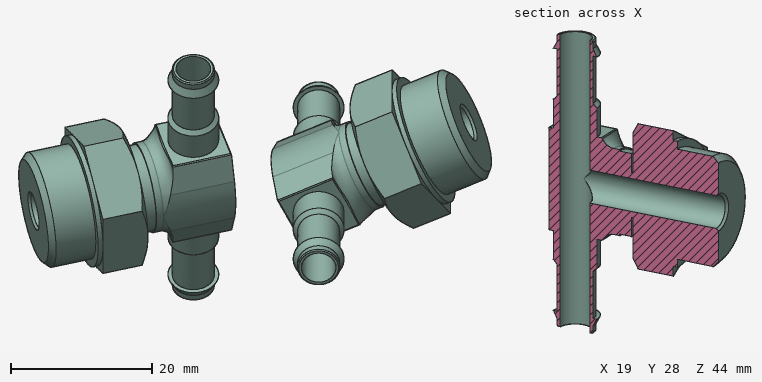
import cadquery as cq
import math


part_depth = 27.95

tube_half_length = 22.0
tube_diameter = 6.0
barb_diameter = 7.2
bore_diameter = 4.9
tip_length = 1.1
tip_chamfer = 0.18
barb_length = 1.2
shoulder_start = 12.65
shoulder_chamfer = (barb_diameter - tube_diameter) / 2

seat_half_width = 4.35
seat_edge_chamfer = 0.15
block_half_height = 7.75
collar_diameter = 13.02
block_half_width = collar_diameter / 2
flank_half_width = 5.9
flank_half_height = 3.65
flare_radius = 2.0

flange_diameter = 12.6
neck_diameter = 6.78
washer_diameter = 19.0
thread_diameter = 16.68
thread_chamfer = 0.9
collar_back = -(seat_half_width + flare_radius)
collar_front = -7.35
flange_front = -9.3
nut_back = -9.5
nut_front = -16.15
washer_front = -16.85
thread_front = seat_half_width - part_depth
bore_mouth_chamfer = 0.35

nut_across_flats = washer_diameter
nut_across_corners = nut_across_flats / math.cos(math.radians(30))
nut_chamfer_angle = 30

clearance = 0.45


def revolve_about_y(profile):
    """Revolve a closed XY profile of (radius, y) points about the Y axis."""
    return profile.close().revolve(360, (0, 0, 0), (0, 1, 0))


def cylinder_y(diameter, start, end):
    """Solid cylinder on the Y axis between two Y positions."""
    return cq.Workplane("XZ", origin=(0, start, 0)).circle(diameter / 2).extrude(start - end)


def make_block():
    """Block whose front follows a concave flare down to the round collar."""
    prism = (
        cq.Workplane("XZ", origin=(0, seat_half_width, 0))
        .moveTo(-seat_half_width, block_half_height)
        .lineTo(seat_half_width, block_half_height)
        .lineTo(flank_half_width, flank_half_height)
        .threePointArc((block_half_width, 0), (flank_half_width, -flank_half_height))
        .lineTo(seat_half_width, -block_half_height)
        .lineTo(-seat_half_width, -block_half_height)
        .lineTo(-flank_half_width, -flank_half_height)
        .threePointArc((-block_half_width, 0), (-flank_half_width, flank_half_height))
        .close()
        .extrude(seat_half_width - collar_back)
    )
    flare_outer_radius = block_half_width + flare_radius
    envelope_radius = math.hypot(seat_half_width, block_half_height) + clearance
    arc_offset = flare_radius * math.sqrt(0.5)
    envelope = revolve_about_y(
        cq.Workplane("XY")
        .moveTo(0, seat_half_width)
        .lineTo(envelope_radius, seat_half_width)
        .lineTo(envelope_radius, -seat_half_width)
        .lineTo(flare_outer_radius, -seat_half_width)
        .threePointArc(
            (flare_outer_radius - arc_offset, collar_back + arc_offset),
            (block_half_width, collar_back),
        )
        .lineTo(0, collar_back)
    )
    block = prism.intersect(envelope)
    return block.faces("|Z").edges().chamfer(seat_edge_chamfer)


def make_tube():
    """Barbed hose tube rising from the centre along +Z."""
    tube_radius = tube_diameter / 2
    barb_radius = barb_diameter / 2
    barb_top = tube_half_length - tip_length
    barb_base = barb_top - barb_length
    profile = [
        (0, 0),
        (barb_radius, 0),
        (barb_radius, shoulder_start - shoulder_chamfer),
        (tube_radius, shoulder_start),
        (tube_radius, barb_base),
        (barb_radius, barb_base),
        (tube_radius, barb_top),
        (tube_radius, tube_half_length - tip_chamfer),
        (tube_radius - tip_chamfer, tube_half_length),
        (0, tube_half_length),
    ]
    return cq.Workplane("XZ").polyline(profile).close().revolve(360, (0, 0, 0), (0, 1, 0))


def make_nut():
    """Hexagon with corners on Z, its back corners cut by a cone."""
    hexagon = (
        cq.Workplane("XZ", origin=(0, nut_back, 0))
        .transformed(rotate=(0, 0, 90))
        .polygon(6, nut_across_corners)
        .extrude(nut_back - nut_front)
    )
    flat_radius = nut_across_flats / 2
    cone_radius = nut_across_corners / 2 + clearance
    cone_drop = (cone_radius - flat_radius) * math.tan(math.radians(nut_chamfer_angle))
    cone = revolve_about_y(
        cq.Workplane("XY")
        .moveTo(0, nut_back)
        .lineTo(flat_radius, nut_back)
        .lineTo(cone_radius, nut_back - cone_drop)
        .lineTo(cone_radius, nut_front)
        .lineTo(0, nut_front)
    )
    return hexagon.intersect(cone)


def make_stem():
    """Round stem from the block to the chamfered threaded end, with its nut."""
    thread = cylinder_y(thread_diameter, washer_front, thread_front)
    thread = thread.faces("<Y").chamfer(thread_chamfer)
    return (
        cylinder_y(collar_diameter, collar_back, collar_front)
        .union(cylinder_y(flange_diameter, collar_front, flange_front))
        .union(cylinder_y(neck_diameter, flange_front, nut_back))
        .union(make_nut())
        .union(cylinder_y(washer_diameter, nut_front, washer_front))
        .union(thread)
    )


def make_bores():
    """Through bore of the tubes and the stem bore with its chamfered mouth."""
    bore_radius = bore_diameter / 2
    tube_bore = (
        cq.Workplane("XY")
        .circle(bore_radius)
        .extrude(tube_half_length, both=True)
    )
    stem_bore = revolve_about_y(
        cq.Workplane("XY")
        .lineTo(bore_radius, 0)
        .lineTo(bore_radius, thread_front + bore_mouth_chamfer)
        .lineTo(bore_radius + bore_mouth_chamfer, thread_front)
        .lineTo(0, thread_front)
    )
    return tube_bore.union(stem_bore)


upper_tube = make_tube()
lower_tube = upper_tube.mirror("XY")
result = make_block().union(make_stem()).union(upper_tube).union(lower_tube).cut(make_bores())